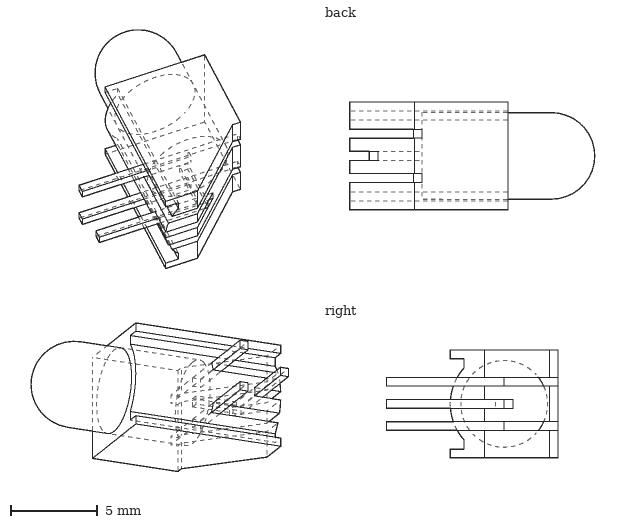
import cadquery as cq
import math

TOTAL_LENGTH = 14.14

LEAD_WIDTH = 0.51
LEAD_PITCH_X = 2.55
LEAD_PITCH_Z = 1.27
LEAD_TIP_Y = -6.79
OUTER_LEAD_X = 10.21
MIDDLE_LEAD_X = OUTER_LEAD_X + LEAD_PITCH_X
LEAD_CENTERS = [
    (OUTER_LEAD_X, -LEAD_PITCH_Z),
    (MIDDLE_LEAD_X, 0.0),
    (OUTER_LEAD_X, LEAD_PITCH_Z),
]

LED_RADIUS = 2.5
LED_REAR_X = OUTER_LEAD_X - LEAD_WIDTH / 2

HOUSING_SIDE = 6.22
HALF_SIDE = HOUSING_SIDE / 2
HOUSING_FRONT_X = 5.0
RAIL_THICKNESS = 0.51
RAIL_HEIGHT = 0.79
BEVEL_START_X = 10.39
BEVEL_START_Y = HALF_SIDE - 0.5
BEVEL_END_Y = -1.13


def box(x_range, y_range, z_range):
    """Axis-aligned box between the given limits."""
    size = [high - low for low, high in (x_range, y_range, z_range)]
    corner = (x_range[0], y_range[0], z_range[0])
    return cq.Workplane("XY").box(*size, centered=False).translate(corner)


def around(center, width):
    """Limits of a span of the given width about its center."""
    return (center - width / 2, center + width / 2)


def cylinder_along_x(radius, start_x, end_x):
    """Cylinder on the LED axis."""
    return cq.Workplane("YZ", origin=(start_x, 0, 0)).circle(radius).extrude(end_x - start_x)


def make_lead(center_x, center_z):
    """Lead that runs back from the LED and bends square towards -Y."""
    z_range = around(center_z, LEAD_WIDTH)
    run = box((LED_REAR_X, center_x + LEAD_WIDTH / 2), (-LEAD_WIDTH, 0), z_range)
    drop = box(around(center_x, LEAD_WIDTH), (LEAD_TIP_Y, 0), z_range)
    return run.union(drop)


def make_beveled_block():
    """Square block with its rear +Y corner cut off by a short step and a bevel."""
    outline = [
        (HOUSING_FRONT_X, -HALF_SIDE),
        (TOTAL_LENGTH, -HALF_SIDE),
        (TOTAL_LENGTH, BEVEL_END_Y),
        (BEVEL_START_X, BEVEL_START_Y),
        (BEVEL_START_X, HALF_SIDE),
        (HOUSING_FRONT_X, HALF_SIDE),
    ]
    base = cq.Workplane("XY", origin=(0, 0, -HALF_SIDE))
    return base.polyline(outline).close().extrude(HOUSING_SIDE)


def make_rail_recesses():
    """Material removed on the -Y side between the rails and the rounded barrel."""
    x_range = (HOUSING_FRONT_X, TOTAL_LENGTH)
    y_range = (-HALF_SIDE, -HALF_SIDE + RAIL_HEIGHT)
    z_range = around(0, HOUSING_SIDE - 2 * RAIL_THICKNESS)
    return box(x_range, y_range, z_range).cut(cylinder_along_x(HALF_SIDE, *x_range))


def make_lead_slot(center_x, center_z):
    """Slot through the housing in Y, open at the rear, with the lead against its front end."""
    x_range = (center_x - LEAD_WIDTH / 2, TOTAL_LENGTH)
    return box(x_range, (-HALF_SIDE, HALF_SIDE), around(center_z, LEAD_WIDTH))


def make_housing():
    """Housing with a blind bore for the LED and a slot and passage for each lead."""
    body = make_beveled_block().cut(make_rail_recesses())
    body = body.cut(cylinder_along_x(LED_RADIUS, HOUSING_FRONT_X, LED_REAR_X))
    for center in LEAD_CENTERS:
        body = body.cut(make_lead_slot(*center))
        body = body.cut(make_lead(*center))
    return body


def make_led():
    """LED body turned about X, in one piece with its leads."""
    arc_offset = LED_RADIUS * math.cos(math.pi / 4)
    half_profile = (
        cq.Workplane("XY")
        .moveTo(0, 0)
        .threePointArc((LED_RADIUS - arc_offset, arc_offset), (LED_RADIUS, LED_RADIUS))
        .lineTo(LED_REAR_X, LED_RADIUS)
        .lineTo(LED_REAR_X, 0)
        .close()
    )
    body = half_profile.revolve(360, (0, 0, 0), (1, 0, 0))
    for center in LEAD_CENTERS:
        body = body.union(make_lead(*center))
    return body


housing = make_housing()
led = make_led()
result = cq.Compound.makeCompound([housing.solids().val(), led.solids().val()])